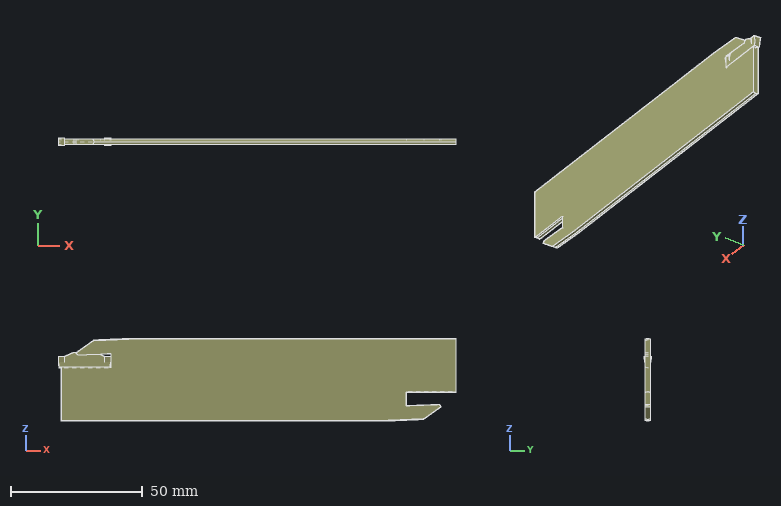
import cadquery as cq
import math


OVERALL_LENGTH = 151.0
HEIGHT = 31.4
THICKNESS = 2.3
EDGE_OVERHANG = 1.0
RIDGE_HEIGHT = 0.3
RELIEF_LENGTH = 26.6
RELIEF_DROP = 0.6
NOSE_START = 12.5

SEAT_LENGTH = 18.9
SEAT_DEPTH = 10.9
JAW_ROOT_DEPTH = 5.9
JAW_TIP_DEPTH = 6.3
JAW_TIP_SETBACK = 6.3
NOSE_SETBACK = 5.7
NOSE_DEPTH = 5.5

HEAD_LENGTH = 2.4
HEAD_WIDTH = 3.0
HEAD_DEPTH = 6.8
HEAD_HEIGHT = 2.3
END_CLEARANCE = 0.3
HUMP_START = 5.9
HUMP_DEPTH = 5.3
CONTACT_END = 16.0

BLADE_LEFT = EDGE_OVERHANG
BLADE_CENTER = cq.Vector((BLADE_LEFT + OVERALL_LENGTH) / 2, 0, HEIGHT / 2)
SEAT_END = BLADE_LEFT + SEAT_LENGTH
SEAT_FLOOR = HEIGHT - SEAT_DEPTH
JAW_ROOT = (SEAT_END, HEIGHT - JAW_ROOT_DEPTH)
JAW_TIP = (BLADE_LEFT + JAW_TIP_SETBACK, HEIGHT - JAW_TIP_DEPTH)
NOSE_TIP = (BLADE_LEFT + NOSE_SETBACK, HEIGHT - NOSE_DEPTH)
NOSE_TOP = (BLADE_LEFT + NOSE_START, HEIGHT - RELIEF_DROP)
RELIEF_START = BLADE_LEFT + RELIEF_LENGTH
RELIEF_ANGLE = math.degrees(math.atan2(RELIEF_DROP, RELIEF_LENGTH - NOSE_START))
HEAD_TOP = HEIGHT - HEAD_DEPTH
HEAD_BOTTOM = HEAD_TOP - HEAD_HEIGHT


def plate(points, width):
    """Prism with the given X-Z outline, centred on the middle plane."""
    return cq.Workplane("XZ").polyline(points).close().extrude(width / 2, both=True)


def bar(points, start, length):
    """Prism with the given Y-Z section, running along +X from start."""
    return cq.Workplane("YZ", origin=(start, 0, 0)).polyline(points).close().extrude(length)


def turned(body):
    """Body turned half a turn about the blade centre, onto the other end of the blade."""
    return body.rotate(BLADE_CENTER, BLADE_CENTER + cq.Vector(0, 1.5, 0), 180)


def ridged_bar():
    """Long bar whose upper and lower edges are both V-shaped ridges."""
    half = THICKNESS / 2
    section = [
        (0, 0),
        (half, RIDGE_HEIGHT),
        (half, HEIGHT - RIDGE_HEIGHT),
        (0, HEIGHT),
        (-half, HEIGHT - RIDGE_HEIGHT),
        (-half, RIDGE_HEIGHT),
    ]
    return bar(section, BLADE_LEFT, OVERALL_LENGTH - BLADE_LEFT)


def relief_envelope():
    """Tall ridged bar tilted about the start of the relief, trimming the upper edge next to the jaw."""
    half = THICKNESS / 2
    section = [
        (-half, -HEIGHT),
        (half, -HEIGHT),
        (half, HEIGHT - RIDGE_HEIGHT),
        (0, HEIGHT),
        (-half, HEIGHT - RIDGE_HEIGHT),
    ]
    envelope = bar(section, -OVERALL_LENGTH, 3 * OVERALL_LENGTH)
    pivot = (RELIEF_START, 0, HEIGHT)
    return envelope.rotate(pivot, (RELIEF_START, 1, HEIGHT), -RELIEF_ANGLE)


def seat_floor_groove():
    """V-shaped groove along the seat floor."""
    half = THICKNESS / 2
    section = [(-half, SEAT_FLOOR), (0, SEAT_FLOOR - RIDGE_HEIGHT), (half, SEAT_FLOOR)]
    return bar(section, 0, SEAT_END)


def seat_cut():
    """Everything removed around one jaw: the open seat, the nose slope and the floor groove."""
    outline = [
        (0, SEAT_FLOOR),
        (SEAT_END, SEAT_FLOOR),
        JAW_ROOT,
        JAW_TIP,
        NOSE_TIP,
        NOSE_TOP,
        (NOSE_TOP[0], HEIGHT + RELIEF_DROP),
        (0, HEIGHT + RELIEF_DROP),
    ]
    return plate(outline, HEAD_WIDTH).union(seat_floor_groove())


def make_blade():
    blade = ridged_bar()
    envelope = relief_envelope()
    cut = seat_cut()
    blade = blade.intersect(envelope).intersect(turned(envelope))
    return blade.cut(cut).cut(turned(cut))


def insert_section(start, length, top, top_width):
    """Bar narrowing to the blade thickness below the head, with a V-shaped underside."""
    half = THICKNESS / 2
    section = [
        (0, SEAT_FLOOR - RIDGE_HEIGHT),
        (half, SEAT_FLOOR),
        (half, HEAD_BOTTOM),
        (top_width / 2, HEAD_TOP),
        (top_width / 2, top),
        (-top_width / 2, top),
        (-top_width / 2, HEAD_TOP),
        (-half, HEAD_BOTTOM),
        (-half, SEAT_FLOOR),
    ]
    return bar(section, start, length)


def jaw_underside(x):
    """Level of the sloping clamping face of the jaw at x."""
    slope = (JAW_ROOT[1] - JAW_TIP[1]) / (JAW_ROOT[0] - JAW_TIP[0])
    return JAW_TIP[1] + slope * (x - JAW_TIP[0])


def make_insert():
    bottom = SEAT_FLOOR - RIDGE_HEIGHT
    rear_head = SEAT_END - HEAD_LENGTH
    outline = [
        (END_CLEARANCE, bottom),
        (0, HEAD_BOTTOM),
        (0, HEAD_TOP),
        (HEAD_LENGTH, HEAD_TOP),
        (HUMP_START, HEIGHT - HUMP_DEPTH),
        NOSE_TIP,
        JAW_TIP,
        (CONTACT_END, jaw_underside(CONTACT_END)),
        (rear_head, HEAD_TOP),
        (SEAT_END, HEAD_TOP),
        (SEAT_END, HEAD_BOTTOM),
        (SEAT_END - END_CLEARANCE, bottom),
    ]
    stock = insert_section(0, SEAT_END, HEIGHT, THICKNESS)
    for start in (0, rear_head):
        stock = stock.union(insert_section(start, HEAD_LENGTH, HEIGHT, HEAD_WIDTH))
    return stock.intersect(plate(outline, HEAD_WIDTH))


blade = make_blade()
insert = make_insert()
result = cq.Compound.makeCompound([blade.solids().val(), insert.solids().val()])